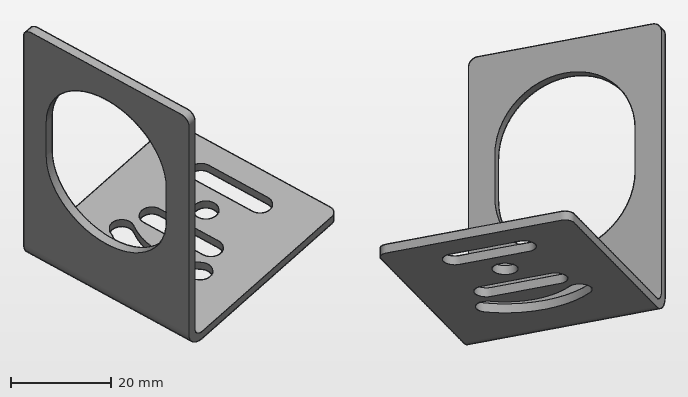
import cadquery as cq
import math

width = 42.0
depth = 48.3
height = 64.3
thickness = 2.0
bend_outer_radius = 4.45
bend_inner_radius = bend_outer_radius - thickness
corner_radius = 2.0

window_width = 30.5
window_height = 40.0
window_center_z = 37.05

pivot_diameter = 5.2
pivot_y = 32.3
slot_width = 5.0
slot_length = 20.0
slot_offset = 8.0
arc_slot_radius = 17.6
arc_slot_half_span = 9.95


def bent_sheet():
    """L-shaped sheet with concentric bend radii and rounded free corners."""
    sheet = (
        cq.Workplane("YZ")
        .moveTo(bend_outer_radius, 0)
        .lineTo(depth, 0)
        .lineTo(depth, thickness)
        .lineTo(bend_outer_radius, thickness)
        .radiusArc((thickness, bend_outer_radius), bend_inner_radius)
        .lineTo(thickness, height)
        .lineTo(0, height)
        .lineTo(0, bend_outer_radius)
        .radiusArc((bend_outer_radius, 0), -bend_outer_radius)
        .close()
        .extrude(width / 2, both=True)
    )
    sheet = sheet.faces(">Y").edges("|Z").fillet(corner_radius)
    return sheet.faces(">Z").edges("|Y").fillet(corner_radius)


def window_cutter():
    """Upright obround through the vertical plate."""
    return (
        cq.Workplane("XZ")
        .center(0, window_center_z)
        .slot2D(window_height, window_width, 90)
        .extrude(-thickness)
    )


def base_cutter():
    """Pivot hole with a straight slot on either side of it."""
    pivot = cq.Workplane("XY").center(0, pivot_y).circle(pivot_diameter / 2).extrude(thickness)
    slots = (
        cq.Workplane("XY")
        .pushPoints([(0, pivot_y - slot_offset), (0, pivot_y + slot_offset)])
        .slot2D(slot_length, slot_width)
        .extrude(thickness)
    )
    return pivot.union(slots)


def arc_slot_cutter():
    """Round-ended slot curved about the pivot hole."""
    half_angle = math.asin(arc_slot_half_span / arc_slot_radius)
    inner = arc_slot_radius - slot_width / 2
    outer = arc_slot_radius + slot_width / 2

    def polar(radius, angle):
        return (radius * math.sin(angle), -radius * math.cos(angle))

    cap_angle = math.atan2(slot_width / 2, arc_slot_radius)
    tip_radius = math.hypot(arc_slot_radius, slot_width / 2)
    return (
        cq.Workplane("XY")
        .center(0, pivot_y)
        .moveTo(*polar(inner, -half_angle))
        .threePointArc(polar(inner, 0), polar(inner, half_angle))
        .threePointArc(polar(tip_radius, half_angle + cap_angle), polar(outer, half_angle))
        .threePointArc(polar(outer, 0), polar(outer, -half_angle))
        .threePointArc(polar(tip_radius, -half_angle - cap_angle), polar(inner, -half_angle))
        .close()
        .extrude(thickness)
    )


result = bent_sheet().cut(window_cutter()).cut(base_cutter()).cut(arc_slot_cutter())